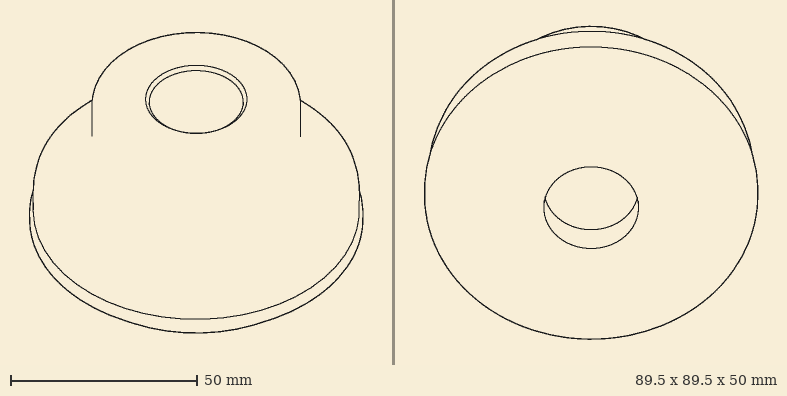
import cadquery as cq
import math

total_height = 50.0

cap_height = 10.0
rim_radius = 44.75
rim_bottom = 6.5
rim_top = 9.0
rim_edge_round = 0.7
cap_bottom_round = 1.0

hub_radius = 28.0
shoulder_height = 20.0
slope_angle = math.radians(40)
slope_round = 5.2
hub_top_round = 2.0

bore_radius = 12.7
mouth_radius = 12.6
mouth_depth = 4.1
mouth_chamfer = 1.0

cap_bottom_radius = rim_radius - rim_bottom
body_radius = rim_radius - (cap_height - rim_top)
neck_height = shoulder_height + (body_radius - hub_radius) * math.tan(slope_angle)


def revolve_about_z(outline):
    return outline.close().revolve(360, (0, 0), (0, 1))


def round_edge(body, edge_radius, height, rounding):
    """Round the circular edge that has the given radius and height."""
    tolerance = 0.001

    def is_wanted(edge):
        same_radius = abs(edge.radius() - edge_radius) < tolerance
        return same_radius and abs(edge.Center().z - height) < tolerance

    return body.edges("%CIRCLE").filter(is_wanted).fillet(rounding)


def make_base_cap():
    outline = (
        cq.Workplane("XZ")
        .moveTo(bore_radius, 0)
        .lineTo(cap_bottom_radius, 0)
        .lineTo(rim_radius, rim_bottom)
        .lineTo(rim_radius, rim_top)
        .lineTo(body_radius, cap_height)
        .lineTo(bore_radius, cap_height)
    )
    cap = revolve_about_z(outline)
    cap = round_edge(cap, cap_bottom_radius, 0, cap_bottom_round)
    cap = round_edge(cap, rim_radius, rim_bottom, rim_edge_round)
    return round_edge(cap, rim_radius, rim_top, rim_edge_round)


def make_bell():
    outline = (
        cq.Workplane("XZ")
        .moveTo(bore_radius, cap_height)
        .lineTo(body_radius, cap_height)
        .lineTo(body_radius, shoulder_height)
        .lineTo(hub_radius, neck_height)
        .lineTo(hub_radius, total_height)
        .lineTo(mouth_radius + mouth_chamfer, total_height)
        .lineTo(mouth_radius, total_height - mouth_chamfer)
        .lineTo(bore_radius, total_height - mouth_depth)
    )
    bell = revolve_about_z(outline)
    bell = round_edge(bell, body_radius, shoulder_height, slope_round)
    bell = round_edge(bell, hub_radius, neck_height, slope_round)
    return round_edge(bell, hub_radius, total_height, hub_top_round)


base_cap = make_base_cap()
bell = make_bell()

result = cq.Compound.makeCompound([base_cap.val(), bell.val()])